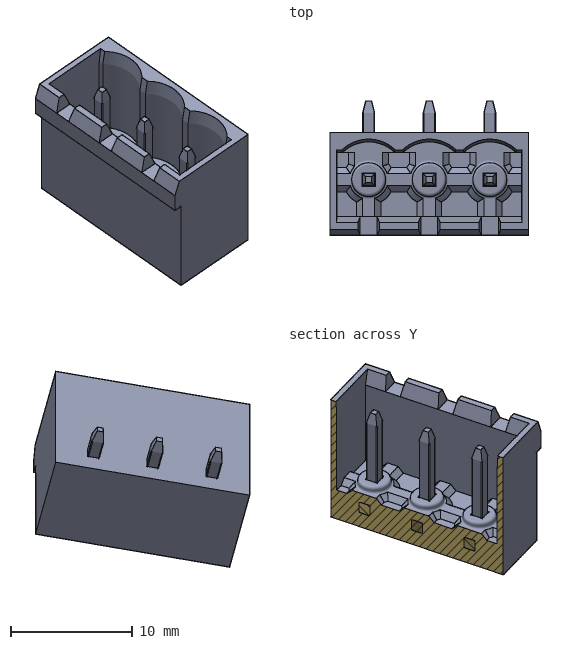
import cadquery as cq
import math

contact_count = 3
pitch = 5.0
contact_xs = [(i - (contact_count - 1) / 2) * pitch for i in range(contact_count)]

housing_length = 16.4
housing_depth = 7.8
housing_height = 12.0
lip_overhang = 0.7
lip_height = 3.0
lip_chamfer_depth = 0.5
lip_chamfer_height = 1.3
back_y = housing_depth / 2
front_y = -housing_depth / 2
lip_y = front_y - lip_overhang

cavity_half_length = 7.6
cavity_front_y = -3.05
cavity_back_y = 2.23
cavity_floor_z = 3.0
alcove_radius = 3.12
alcove_half_chord = math.sqrt(alcove_radius**2 - cavity_back_y**2)
lead_in_height = 1.3
lead_in_side = 0.07
lead_in_front = 0.48
lead_in_back = 0.23

slot_bottom_width = 1.4
slot_top_width = 1.8
slot_floor_z = housing_height - lip_chamfer_height

platform_height = 0.5
platform_z = cavity_floor_z + platform_height
platform_slope = 0.5
platform_radius = 1.6
rib_half_width = 0.5
back_rib_half_width = 1.15

collar_radius = 1.4
collar_height = 0.6
collar_top_fillet = 0.25
collar_base_fillet = platform_radius - collar_radius

pin_size = 1.0
pin_edge_chamfer = 0.08
pin_top_z = 10.8
tail_z = 2.0
tail_end_y = 6.5
tip_length = 1.0
tip_size = 0.5

clearance_hole_size = 1.11


def cavity_outline(z, side=0.0, front=0.0, back=0.0):
    """Cavity section at height z, with each wall moved outward by the given amount."""
    half_length = cavity_half_length + side
    wall_y = cavity_back_y + back
    outline = (
        cq.Workplane("XY", origin=(0, 0, z))
        .moveTo(-half_length, cavity_front_y - front)
        .lineTo(-half_length, wall_y)
    )
    for x in contact_xs:
        outline = outline.lineTo(x - alcove_half_chord, wall_y)
        outline = outline.threePointArc((x, alcove_radius + back), (x + alcove_half_chord, wall_y))
    return outline.lineTo(half_length, wall_y).lineTo(half_length, cavity_front_y - front).close()


def make_cavity():
    lead_in_z = housing_height - lead_in_height
    well = cavity_outline(cavity_floor_z).extrude(lead_in_z - cavity_floor_z)
    lower = cavity_outline(lead_in_z).val()
    upper = cavity_outline(housing_height, lead_in_side, lead_in_front, lead_in_back).val()
    lead_in = cq.Workplane(cq.Solid.makeLoft([lower, upper], True))
    return well.union(lead_in)


def make_shell():
    profile = [
        (back_y, 0),
        (back_y, housing_height),
        (lip_y + lip_chamfer_depth, housing_height),
        (lip_y, housing_height - lip_chamfer_height),
        (lip_y, housing_height - lip_height),
        (front_y, housing_height - lip_height),
        (front_y, 0),
    ]
    return cq.Workplane("YZ").polyline(profile).close().extrude(housing_length / 2, both=True)


def make_lip_slot(x):
    profile = [
        (x - slot_bottom_width / 2, slot_floor_z),
        (x + slot_bottom_width / 2, slot_floor_z),
        (x + slot_top_width / 2, housing_height),
        (x - slot_top_width / 2, housing_height),
    ]
    slot_length = cavity_front_y - lip_y
    return (
        cq.Workplane("XZ", origin=(0, cavity_front_y, 0)).polyline(profile).close().extrude(slot_length)
    )


def rib_profile(plane, origin, half_width):
    """Trapezoid standing on the cavity floor, wider at its foot."""
    foot = half_width + platform_slope
    points = [(-foot, 0), (foot, 0), (half_width, platform_height), (-half_width, platform_height)]
    return cq.Workplane(plane, origin=origin).polyline(points).close()


def make_platform(x):
    """Sloping hub under one contact, with a rib to the front wall and a wider one to the back."""
    hub_center = (x, 0, cavity_floor_z)
    cone = cq.Workplane(
        cq.Solid.makeCone(
            platform_radius + platform_slope,
            platform_radius,
            platform_height,
            pnt=cq.Vector(*hub_center),
        )
    )
    front_rib = rib_profile("XZ", hub_center, rib_half_width).extrude(-cavity_front_y)
    back_rib = rib_profile("XZ", hub_center, back_rib_half_width).extrude(-cavity_back_y)
    alcove_floor = (
        cq.Workplane("XY", origin=hub_center)
        .moveTo(-alcove_half_chord, cavity_back_y)
        .threePointArc((0, alcove_radius), (alcove_half_chord, cavity_back_y))
        .close()
        .extrude(platform_height)
    )
    return cone.union(front_rib).union(back_rib).union(alcove_floor)


def make_collar(x):
    """Turned collar with a rounded top edge and a concave flare at its foot."""
    top_center_x = collar_radius - collar_top_fillet
    top_center_z = collar_height - collar_top_fillet
    flare_center_x = collar_radius + collar_base_fillet
    flare_center_z = collar_base_fillet
    top_diagonal = collar_top_fillet * math.sqrt(0.5)
    flare_diagonal = collar_base_fillet * math.sqrt(0.5)
    half_section = (
        cq.Workplane("XZ", origin=(x, 0, platform_z))
        .lineTo(flare_center_x, 0)
        .threePointArc(
            (flare_center_x - flare_diagonal, flare_center_z - flare_diagonal),
            (collar_radius, flare_center_z),
        )
        .lineTo(collar_radius, top_center_z)
        .threePointArc(
            (top_center_x + top_diagonal, top_center_z + top_diagonal),
            (top_center_x, collar_height),
        )
        .lineTo(0, collar_height)
        .close()
    )
    return half_section.revolve(360, (0, 0, 0), (0, 1, 0))


def make_clearance_hole(x):
    return (
        cq.Workplane("XY", origin=(x, 0, cavity_floor_z))
        .rect(clearance_hole_size, clearance_hole_size)
        .extrude(platform_height + collar_height)
    )


def make_bar(plane, origin, length):
    """Square bar with chamfered long edges and a tapered end."""
    shank = (
        cq.Workplane(plane, origin=origin)
        .rect(pin_size, pin_size)
        .extrude(length - tip_length)
        .edges("|Z" if plane == "XY" else "|Y")
        .chamfer(pin_edge_chamfer)
    )
    tip = (
        cq.Workplane(plane, origin=origin)
        .workplane(offset=length - tip_length)
        .rect(pin_size, pin_size)
        .workplane(offset=tip_length)
        .rect(tip_size, tip_size)
        .loft()
    )
    return shank.union(tip)


def make_pin(x):
    """Contact bent at a right angle: upright blade, and a tail leaving through the back wall."""
    heel_z = tail_z - pin_size / 2
    heel_y = -pin_size / 2
    blade = make_bar("XY", (x, 0, heel_z), pin_top_z - heel_z)
    tail = make_bar("ZX", (x, heel_y, tail_z), tail_end_y - heel_y)
    return blade.union(tail)


pins = [make_pin(x) for x in contact_xs]

housing = make_shell().cut(make_cavity())
cross_rib = rib_profile("YZ", (0, 0, cavity_floor_z), rib_half_width)
housing = housing.union(cross_rib.extrude(cavity_half_length, both=True))
for x, pin in zip(contact_xs, pins):
    housing = housing.cut(make_lip_slot(x)).union(make_platform(x)).union(make_collar(x))
    housing = housing.cut(make_clearance_hole(x)).cut(pin)

result = cq.Compound.makeCompound([housing.val(), *[pin.val() for pin in pins]])